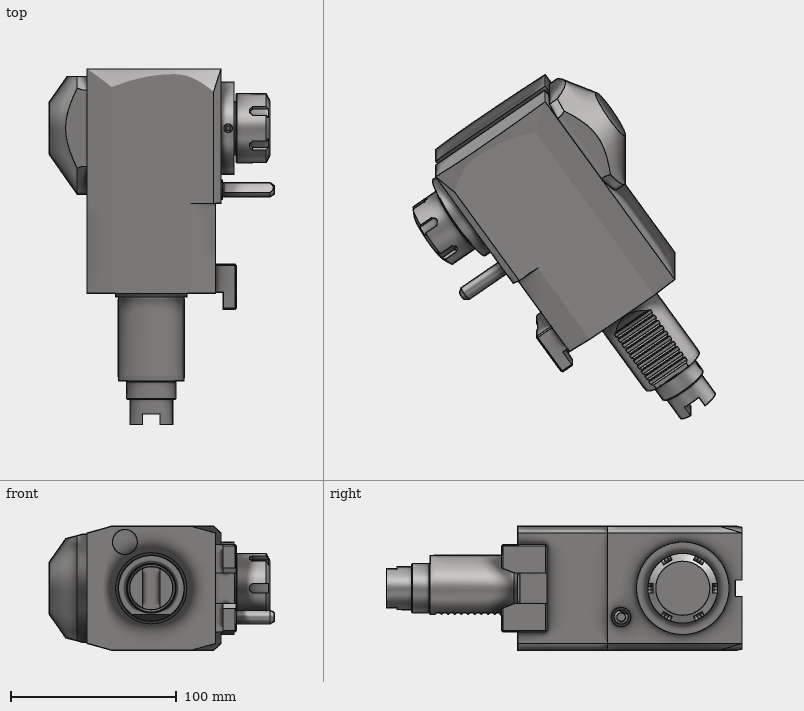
import cadquery as cq
import math


housing_length = 135.7
housing_height = 75.0
housing_half_height = housing_height / 2
edge_half_height = 33.3
side_x = 39.0
slope_start_x = 23.9
rear_side_x = 42.1
rear_slope_start_x = 37.6
step_y = 54.5
crown_x = 14.0
crown_half_height = 36.8
crown_taper = 12.5
crown_depth = 25.8
rear_slot_width = 9.7
rear_slot_depth = 4.0
plug_x = -16.0
plug_z = 28.0
plug_radius = 7.5
plug_recess = 0.5

flange_radius = 21.5
flange_length = 2.2
shank_radius = 20.0
shank_end_y = -52.9
shank_end_radius = 19.8
shank_end_bevel = 2.8
shank_root_bevel = 1.5
collar_radius = 15.0
collar_end_y = -64.0
collar_bevel = 0.6
tang_diameter = 26.0
tang_radius = tang_diameter / 2
overall_length = 215.0
tip_y = housing_length - overall_length
tang_slot_width = 10.5
tang_slot_depth = 6.5

rack_crest_z = -16.0
rack_groove_depth = 1.0
rack_grooves = 10
rack_length = 40.2
rack_pitch = rack_length / rack_grooves
rack_first_groove_y = -11.8
rack_ramp_start_y = -4.0
rack_ramp_end_y = -10.5

spindle_y = 99.8
cap_radius = 40.0
cap_edge_x = -44.7
cap_tip_x = -61.7
cap_tip_radius = 15.7
cap_rear_flat = 31.4
cap_half_height = 32.7
cap_slope_x = -41.5
cap_slope = 15.0
ring_radius = 28.0
ring_end_x = 50.0
neck_radius = 16.1
nut_start_x = 51.2
nut_end_x = 71.8
nut_radius = 21.0
nut_bevel = 0.6
nut_end_bevel_length = 2.4
nut_end_bevel_depth = 4.7
nut_slots = 6
nut_first_slot_angle = 30.0
nut_slot_width = 6.0
nut_slot_start_x = 59.3
nut_slot_depth = 3.0
nut_slot_corner = 2.0

screw_radius = 2.5
screw_depth = 1.7
socket_across_corners = 3.5
hexagon_sides = 6
ring_screw_x = 46.5
collar_screw_y = -58.7

pin_y = 62.5
pin_z = -17.5
pin_radius = 4.3
pin_end_x = 74.4
pin_tip_length = 2.5
pin_tip_bevel = 1.7
pin_flat_start_x = 43.9
pin_flat_distance = 3.0
pin_flat_tilt = 23.0
pin_collar_radius = 5.8
pin_collar_end_x = 43.0

key_rear_y = 17.6
key_front_y = -9.7
key_end_x = 51.4
key_shoulder_y = 0.6
key_nose_x = 43.5
key_gap = 18.3
key_width = 17.2
key_inner_z = key_gap / 2
key_outer_z = key_inner_z + key_width
key_taper_inner_z = 12.3
key_taper_start_y = -1.7
key_bevel = 0.9
key_bridge_end_x = 50.3
key_bridge_front_y = 1.3

overlap = 4.3
clearance = 2.2
outside = 64.5


def box(x_range, y_range, z_range):
    spans = [high - low for low, high in (x_range, y_range, z_range)]
    corner = (x_range[0], y_range[0], z_range[0])
    return cq.Workplane("XY").box(*spans, centered=False).translate(corner)


def prism_along_y(points, y_start, y_end):
    plane = cq.Workplane("XZ", origin=(0, y_start, 0))
    return plane.polyline(points).close().extrude(y_start - y_end)


def turned_along_x(profile, y, z):
    """Revolve (x, radius) points about an axis parallel to X."""
    plane = cq.Workplane("XY", origin=(0, y, z))
    return plane.polyline(profile).close().revolve(360, (0, 0, 0), (1, 0, 0))


def housing_section(right_x, right_slope_x):
    upper = [
        (-side_x, edge_half_height),
        (-slope_start_x, housing_half_height),
        (right_slope_x, housing_half_height),
        (right_x, edge_half_height),
    ]
    lower = [(x, -z) for x, z in reversed(upper)]
    return upper + lower


def crowned_end():
    """Tapered block whose arched top and bottom bevel the rear of the housing."""

    def arc_height(corner_x, x):
        span = abs(corner_x - crown_x)
        drop = crown_half_height - edge_half_height
        radius = (span**2 + drop**2) / (2 * drop)
        return crown_half_height - radius + math.sqrt(radius**2 - (x - crown_x) ** 2)

    left, right = -side_x - overlap, rear_side_x + overlap
    left_mid, right_mid = (left + crown_x) / 2, (right + crown_x) / 2
    left_z, right_z = arc_height(-side_x, left), arc_height(rear_side_x, right)
    left_mid_z = arc_height(-side_x, left_mid)
    right_mid_z = arc_height(rear_side_x, right_mid)
    outline = (
        cq.Workplane("XZ", origin=(0, housing_length, 0))
        .moveTo(left, left_z)
        .threePointArc((left_mid, left_mid_z), (crown_x, crown_half_height))
        .threePointArc((right_mid, right_mid_z), (right, right_z))
        .lineTo(right, -right_z)
        .threePointArc((right_mid, -right_mid_z), (crown_x, -crown_half_height))
        .threePointArc((left_mid, -left_mid_z), (left, -left_z))
        .close()
    )
    return outline.extrude(crown_depth, taper=-crown_taper)


def housing():
    front = prism_along_y(housing_section(side_x, slope_start_x), step_y, 0)
    rear = prism_along_y(housing_section(rear_side_x, rear_slope_start_x), housing_length, step_y)
    rear_end_y = housing_length - crown_depth
    rear_end = rear.intersect(crowned_end())
    rear_front = rear.intersect(
        box((-outside, outside), (0, rear_end_y), (-outside, outside))
    )
    slot = box(
        (-outside, outside),
        (housing_length - rear_slot_depth, housing_length + clearance),
        (-rear_slot_width / 2, rear_slot_width / 2),
    )
    plug = cq.Workplane("XZ").center(plug_x, plug_z).circle(plug_radius).extrude(-plug_recess)
    return front.union(rear_front).union(rear_end).cut(slot).cut(plug)


def rack_cutter():
    """Flat with a ramp at its root, plus the grooves between the teeth."""
    below = -shank_radius - clearance
    plane = cq.Workplane("YZ", origin=(-outside / 2, 0, 0))
    cutter = (
        plane.moveTo(rack_ramp_start_y, -shank_radius)
        .lineTo(rack_ramp_end_y, rack_crest_z)
        .lineTo(shank_end_y, rack_crest_z)
        .lineTo(shank_end_y, below)
        .lineTo(rack_ramp_start_y, below)
        .close()
        .extrude(outside)
    )
    for index in range(rack_grooves):
        y = rack_first_groove_y - index * rack_pitch
        groove = (
            plane.moveTo(y + rack_pitch / 2, rack_crest_z)
            .lineTo(y + rack_pitch / 4, rack_crest_z + rack_groove_depth)
            .lineTo(y - rack_pitch / 4, rack_crest_z + rack_groove_depth)
            .lineTo(y - rack_pitch / 2, rack_crest_z)
            .close()
            .extrude(outside)
        )
        cutter = cutter.union(groove)
    return cutter


def shank():
    profile = [
        (0, overlap),
        (flange_radius, overlap),
        (flange_radius, -flange_length),
        (shank_end_radius, -flange_length),
        (shank_radius, -flange_length - shank_root_bevel),
        (shank_radius, shank_end_y + shank_end_bevel),
        (shank_end_radius, shank_end_y),
        (0, shank_end_y),
    ]
    body = cq.Workplane("XY").polyline(profile).close().revolve(360, (0, 0, 0), (0, 1, 0))
    return body.cut(rack_cutter())


def drive_tang():
    profile = [
        (0, shank_end_y + overlap),
        (collar_radius - collar_bevel, shank_end_y + overlap),
        (collar_radius - collar_bevel, shank_end_y),
        (collar_radius, shank_end_y - collar_bevel),
        (collar_radius, collar_end_y + collar_bevel),
        (collar_radius - collar_bevel, collar_end_y),
        (tang_radius, collar_end_y),
        (tang_radius, tip_y),
        (0, tip_y),
    ]
    tang = cq.Workplane("XY").polyline(profile).close().revolve(360, (0, 0, 0), (0, 1, 0))
    slot = box(
        (-tang_slot_width / 2, tang_slot_width / 2),
        (tip_y - clearance, tip_y + tang_slot_depth),
        (-outside, outside),
    )
    return tang.cut(slot)


def cap():
    profile = [
        (-side_x + overlap, 0),
        (-side_x + overlap, cap_radius),
        (cap_edge_x, cap_radius),
        (cap_tip_x, cap_tip_radius),
        (cap_tip_x, 0),
    ]
    dome = turned_along_x(profile, spindle_y, 0)
    rear_y = spindle_y + cap_rear_flat
    tip_x = cap_tip_x - clearance
    tip_z = cap_half_height - (cap_slope_x - tip_x) * math.tan(math.radians(cap_slope))
    upper = [
        (tip_x, tip_z),
        (cap_slope_x, cap_half_height),
        (-side_x + overlap, cap_half_height),
    ]
    lower = [(x, -z) for x, z in reversed(upper)]
    return dome.intersect(prism_along_y(upper + lower, rear_y, 0))


def collet_nut():
    profile = [
        (rear_side_x - overlap, 0),
        (rear_side_x - overlap, ring_radius),
        (ring_end_x, ring_radius),
        (ring_end_x, neck_radius),
        (nut_start_x, neck_radius),
        (nut_start_x, nut_radius - nut_bevel),
        (nut_start_x + nut_bevel, nut_radius),
        (nut_end_x - nut_end_bevel_length, nut_radius),
        (nut_end_x, nut_radius - nut_end_bevel_depth),
        (nut_end_x, 0),
    ]
    nut = turned_along_x(profile, spindle_y, 0)
    slot = box(
        (nut_slot_start_x, nut_end_x + clearance),
        (spindle_y - nut_slot_width / 2, spindle_y + nut_slot_width / 2),
        (nut_radius - nut_slot_depth, nut_radius + clearance),
    )
    slot = slot.edges("|Z and <X").chamfer(nut_slot_corner)
    for index in range(nut_slots):
        angle = nut_first_slot_angle + index * 360 / nut_slots
        nut = nut.cut(slot.rotate((0, spindle_y, 0), (1, spindle_y, 0), angle))
    return nut


def coolant_pin():
    profile = [
        (side_x - overlap, 0),
        (side_x - overlap, pin_collar_radius),
        (pin_collar_end_x, pin_collar_radius),
        (pin_collar_end_x, pin_radius),
        (pin_end_x - pin_tip_length, pin_radius),
        (pin_end_x, pin_radius - pin_tip_bevel),
        (pin_end_x, 0),
    ]
    flat = box(
        (pin_flat_start_x, pin_end_x + clearance),
        (pin_y - pin_radius, pin_y + pin_radius),
        (pin_z + pin_flat_distance, pin_z + pin_radius + clearance),
    )
    flat = flat.rotate((0, pin_y, pin_z), (1, pin_y, pin_z), -pin_flat_tilt)
    return turned_along_x(profile, pin_y, pin_z).cut(flat)


def locating_key():
    """Upper L-shaped key with a lead-in taper on its inner side."""
    plan = [
        (side_x - overlap, key_shoulder_y),
        (key_nose_x, key_shoulder_y),
        (key_nose_x, key_front_y),
        (key_end_x, key_front_y),
        (key_end_x, key_rear_y),
        (side_x - overlap, key_rear_y),
    ]
    key = (
        cq.Workplane("XY", origin=(0, 0, key_inner_z))
        .polyline(plan)
        .close()
        .extrude(key_outer_z - key_inner_z)
    )
    key = key.edges("(>X and (>Z or >Y or <Y)) or (>Z and (>Y or <Y))").chamfer(key_bevel)
    taper = (
        cq.Workplane("YZ", origin=(side_x, 0, 0))
        .moveTo(key_taper_start_y, key_inner_z)
        .lineTo(key_front_y, key_taper_inner_z)
        .lineTo(key_front_y, key_inner_z)
        .close()
        .extrude(outside)
    )
    return key.cut(taper)


def key_bridge():
    return box(
        (side_x - overlap, key_bridge_end_x),
        (key_bridge_front_y, key_rear_y),
        (-key_inner_z, key_inner_z),
    )


def screw_socket(plane):
    """Round seat with a hexagon socket in its floor, sunk below the plane."""
    bore = plane.circle(screw_radius).extrude(-screw_depth)
    socket = plane.polygon(hexagon_sides, socket_across_corners).extrude(-2 * screw_depth)
    return bore.union(socket)


ring_screw = screw_socket(cq.Workplane("XY", origin=(ring_screw_x, spindle_y, ring_radius)))
collar_screw = screw_socket(
    cq.Workplane("YZ", origin=(-collar_radius, collar_screw_y, 0)).transformed(rotate=(0, 180, 0))
)
upper_key = locating_key()
lower_key = upper_key.mirror("XY")

result = housing()
for feature in (
    shank(),
    drive_tang(),
    cap(),
    collet_nut(),
    coolant_pin(),
    upper_key,
    lower_key,
    key_bridge(),
):
    result = result.union(feature)
result = result.cut(ring_screw).cut(collar_screw)